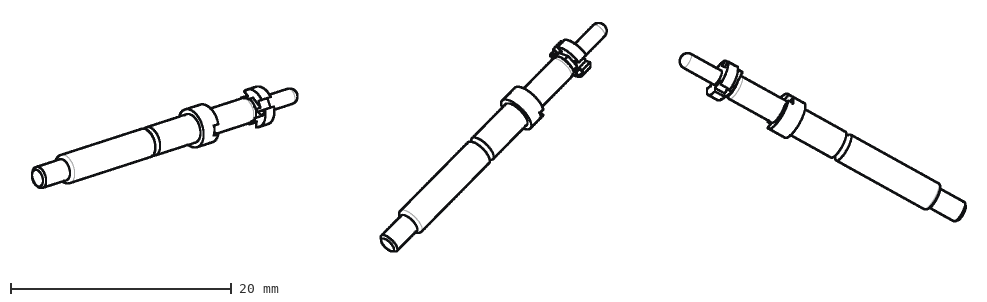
import cadquery as cq
import math

LENGTH = 30.3
COLLAR_DIAMETER = 3.6
SHANK_DIAMETER = 2.7
TIP_Y = LENGTH / 2

FLANGE_START = 3.95
FLANGE_END = 5.0
KEY_END = 5.5
COLLAR_START = 10.48
COLLAR_END = 12.27
GROOVE_CENTRE = 17.27
SHANK_END = 27.3

PLUNGER_RADIUS = 0.73
FLANGE_RADIUS = 1.8
NECK_RADIUS = 1.18
COLLAR_RADIUS = COLLAR_DIAMETER / 2
SHANK_RADIUS = SHANK_DIAMETER / 2
TAIL_RADIUS = 1.0

TIP_ROUND = 0.67
NECK_CHAMFER_LENGTH = 0.35
NECK_CHAMFER_DEPTH = 0.1
GROOVE_HALF_WIDTH = 0.27
GROOVE_DEPTH = 0.2
SHANK_ROUND = 0.27
TAIL_CHAMFER = 0.2

SLOT_WIDTH = 0.9
SLOT_FLOOR = 1.15
SLOT_ANGLES = (30, 150, 270)

KEY_RADIUS = 1.73
KEY_FACE_DISTANCE = 0.9
KEY_FACE_SLOPE = math.radians(30)

NOTCH_WIDTH = 1.0
NOTCH_LENGTH = 0.5


def along(distance):
    """Y position at a distance from the contact tip."""
    return TIP_Y - distance


def section(start):
    """Sketch plane across the pin, drawn in X and Z and extruded toward the tail."""
    return cq.Workplane("XZ", origin=(0, along(start), 0))


def disc(radius, start, end):
    return section(start).circle(radius).extrude(end - start)


def plunger():
    return disc(PLUNGER_RADIUS, 0, FLANGE_END).faces(">Y").edges().fillet(TIP_ROUND)


def flange_and_key():
    diamond_x = KEY_FACE_DISTANCE / math.sin(KEY_FACE_SLOPE)
    diamond_z = KEY_FACE_DISTANCE / math.cos(KEY_FACE_SLOPE)
    corners = [(diamond_x, 0), (0, diamond_z), (-diamond_x, 0), (0, -diamond_z)]
    key = section(FLANGE_END).polyline(corners).close().extrude(KEY_END - FLANGE_END)
    key = key.intersect(disc(KEY_RADIUS, FLANGE_END, KEY_END))
    body = disc(FLANGE_RADIUS, FLANGE_START, FLANGE_END).union(key)
    slot = (
        section(FLANGE_START)
        .center(SLOT_FLOOR + FLANGE_RADIUS / 2, 0)
        .rect(FLANGE_RADIUS, SLOT_WIDTH)
        .extrude(KEY_END - FLANGE_START)
    )
    for angle in SLOT_ANGLES:
        body = body.cut(slot.rotate((0, 0, 0), (0, -1, 0), angle))
    return body


def neck():
    front_radius = NECK_RADIUS - NECK_CHAMFER_DEPTH
    profile = [
        (0, along(KEY_END)),
        (front_radius, along(KEY_END)),
        (NECK_RADIUS, along(KEY_END + NECK_CHAMFER_LENGTH)),
        (NECK_RADIUS, along(COLLAR_END)),
        (0, along(COLLAR_END)),
    ]
    return cq.Workplane("XY").polyline(profile).close().revolve(360, (0, 0, 0), (0, 1, 0))


def collar():
    body = disc(COLLAR_RADIUS, COLLAR_START, COLLAR_END)
    notches = section(COLLAR_START).rect(COLLAR_DIAMETER, NOTCH_WIDTH).extrude(NOTCH_LENGTH)
    return body.cut(notches)


def shank():
    body = disc(SHANK_RADIUS, COLLAR_END, SHANK_END).faces("<Y").edges().fillet(SHANK_ROUND)
    groove = (
        cq.Workplane("XY")
        .moveTo(SHANK_RADIUS, along(GROOVE_CENTRE - GROOVE_HALF_WIDTH))
        .threePointArc(
            (SHANK_RADIUS - GROOVE_DEPTH, along(GROOVE_CENTRE)),
            (SHANK_RADIUS, along(GROOVE_CENTRE + GROOVE_HALF_WIDTH)),
        )
        .close()
        .revolve(360, (0, 0, 0), (0, 1, 0))
    )
    return body.cut(groove)


def tail():
    return disc(TAIL_RADIUS, SHANK_END, LENGTH).faces("<Y").edges().chamfer(TAIL_CHAMFER)


result = plunger().union(flange_and_key()).union(neck()).union(collar()).union(shank()).union(tail())